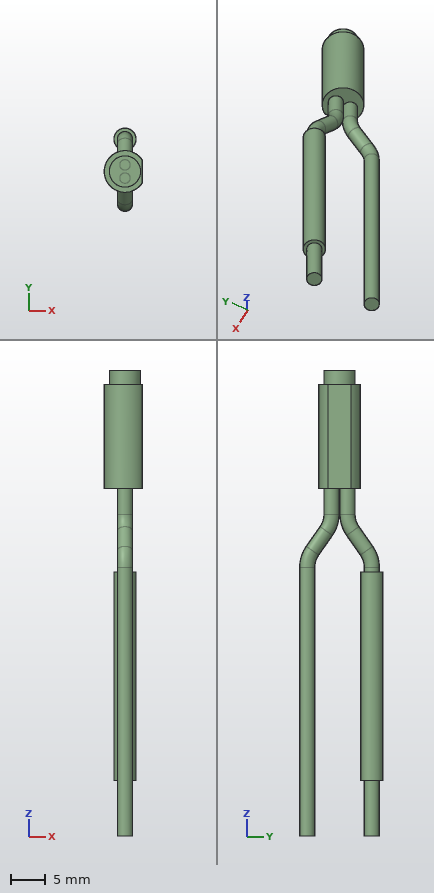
import cadquery as cq
import math

TOTAL_HEIGHT = 67.0

BODY_DIAMETER = 6.0
BODY_LENGTH = 15.0
FLAT_OFFSET = 2.5

NOSE_DIAMETER = 4.5
NOSE_LENGTH = 2.0
CONDUCTOR_DIAMETER = 1.5
CONDUCTOR_PITCH = 1.9

WIRE_DIAMETER = 2.2
WIRE_EXIT_OFFSET = 1.15
WIRE_END_OFFSET = 4.65
WIRE_EXIT_LENGTH = 3.7
WIRE_EMBED = 1.0
BEND_RADIUS = 4.2
BEND_ANGLE = math.radians(35)

SLEEVE_DIAMETER = 3.2
SLEEVE_LENGTH = 30.0
SLEEVE_BOTTOM = 8.0

BODY_TOP = TOTAL_HEIGHT - NOSE_LENGTH
BODY_BOTTOM = BODY_TOP - BODY_LENGTH


def cylinder(diameter, bottom, length, y=0.0):
    """Vertical cylinder centred on X = 0 at the given Y."""
    return cq.Workplane("XY", origin=(0, y, bottom)).circle(diameter / 2).extrude(length)


def make_body():
    """Body cylinder with its flat, topped by the nose."""
    body = cylinder(BODY_DIAMETER, BODY_BOTTOM, BODY_LENGTH)
    beyond_flat = (
        cq.Workplane("XY", origin=(FLAT_OFFSET + BODY_DIAMETER / 2, 0, BODY_BOTTOM))
        .rect(BODY_DIAMETER, BODY_DIAMETER)
        .extrude(BODY_LENGTH)
    )
    nose = cylinder(NOSE_DIAMETER, BODY_TOP, NOSE_LENGTH)
    return body.cut(beyond_flat).union(nose)


def make_wire(side):
    """Wire on the +Y (side = 1) or -Y (side = -1) half, swept along an S-bend."""
    spread = WIRE_END_OFFSET - WIRE_EXIT_OFFSET
    bend_shift = BEND_RADIUS * (1 - math.cos(BEND_ANGLE))
    bend_drop = BEND_RADIUS * math.sin(BEND_ANGLE)
    slope_shift = spread - 2 * bend_shift
    slope_drop = slope_shift / math.tan(BEND_ANGLE)

    top = BODY_BOTTOM + WIRE_EMBED
    bend_start = BODY_BOTTOM - WIRE_EXIT_LENGTH
    slope_start = bend_start - bend_drop
    slope_end = slope_start - slope_drop
    bend_end = slope_end - bend_drop

    path = (
        cq.Workplane("YZ")
        .moveTo(side * WIRE_EXIT_OFFSET, top)
        .lineTo(side * WIRE_EXIT_OFFSET, bend_start)
        .tangentArcPoint((side * (WIRE_EXIT_OFFSET + bend_shift), slope_start), relative=False)
        .lineTo(side * (WIRE_END_OFFSET - bend_shift), slope_end)
        .tangentArcPoint((side * WIRE_END_OFFSET, bend_end), relative=False)
        .lineTo(side * WIRE_END_OFFSET, 0)
    )
    section_plane = cq.Workplane("XY", origin=(0, side * WIRE_EXIT_OFFSET, top))
    section = section_plane.circle(WIRE_DIAMETER / 2)
    return section.sweep(path)


def make_sleeve():
    """Sleeve around the straight run of the +Y wire."""
    return cylinder(SLEEVE_DIAMETER, SLEEVE_BOTTOM, SLEEVE_LENGTH, WIRE_END_OFFSET)


def make_conductor(side):
    """Conductor inside the nose, ending flush with its top face."""
    return cylinder(CONDUCTOR_DIAMETER, BODY_TOP, NOSE_LENGTH, side * CONDUCTOR_PITCH / 2)


result = make_body()
for side in (1, -1):
    result = result.union(make_wire(side))
result = result.union(make_sleeve())

for side in (1, -1):
    result = result.union(make_conductor(side), clean=False)